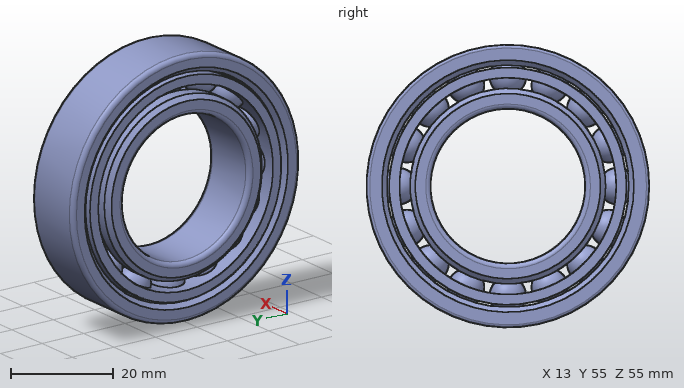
import cadquery as cq
import math


bore_radius = 15.0
outside_radius = 27.5
width = 13.0
half_width = width / 2

ring_thickness = 4.0
inner_land_radius = bore_radius + ring_thickness
outer_land_radius = outside_radius - ring_thickness
front_fillet = 1.0
outer_rear_fillet = 0.6
inner_rear_fillet = 1.0
land_chamfer = 1.0

ball_count = 16
ball_diameter = 7.144
ball_radius = ball_diameter / 2
pitch_radius = (inner_land_radius + outer_land_radius) / 2

cage_inner_radius = 21.05
cage_outer_radius = 23.05
cage_recess = 0.2
cage_width = width - 2 * cage_recess


def make_ring(mount_radius, land_radius, rear_fillet):
    """Ring between its mounting surface and its grooved land, revolved about X."""
    toward_land = math.copysign(1, land_radius - mount_radius)
    face_radius = land_radius - toward_land * land_chamfer
    land_end = half_width - land_chamfer

    groove_half_width = math.sqrt(ball_radius**2 - (pitch_radius - land_radius) ** 2)
    groove_bottom = pitch_radius - toward_land * ball_radius

    front_center = (-half_width + front_fillet, mount_radius + toward_land * front_fillet)
    rear_center = (half_width - rear_fillet, mount_radius + toward_land * rear_fillet)
    diagonal = math.sqrt(0.5)

    profile = (
        cq.Workplane("XY")
        .moveTo(front_center[0], mount_radius)
        .lineTo(rear_center[0], mount_radius)
        .threePointArc(
            (
                rear_center[0] + diagonal * rear_fillet,
                rear_center[1] - toward_land * diagonal * rear_fillet,
            ),
            (half_width, rear_center[1]),
        )
        .lineTo(half_width, face_radius)
        .lineTo(land_end, land_radius)
        .lineTo(groove_half_width, land_radius)
        .threePointArc((0, groove_bottom), (-groove_half_width, land_radius))
        .lineTo(-land_end, land_radius)
        .lineTo(-half_width, face_radius)
        .lineTo(-half_width, front_center[1])
        .threePointArc(
            (
                front_center[0] - diagonal * front_fillet,
                front_center[1] - toward_land * diagonal * front_fillet,
            ),
            (front_center[0], mount_radius),
        )
        .close()
    )
    return profile.revolve(360, (0, 0, 0), (1, 0, 0))


def make_ball_cage():
    """Plain cage sleeve with the balls set through its wall."""
    cage = (
        cq.Workplane("YZ")
        .workplane(offset=-cage_width / 2)
        .circle(cage_outer_radius)
        .circle(cage_inner_radius)
        .extrude(cage_width)
    )
    for index in range(ball_count):
        ball = cq.Workplane("XY").sphere(ball_radius).translate((0, 0, pitch_radius))
        cage = cage.union(ball.rotate((0, 0, 0), (1, 0, 0), 360 * index / ball_count))
    return cage.solids()


outer_ring = make_ring(outside_radius, outer_land_radius, outer_rear_fillet)
inner_ring = make_ring(bore_radius, inner_land_radius, inner_rear_fillet)
ball_cage = make_ball_cage()

result = cq.Compound.makeCompound([outer_ring.val(), inner_ring.val(), ball_cage.val()])